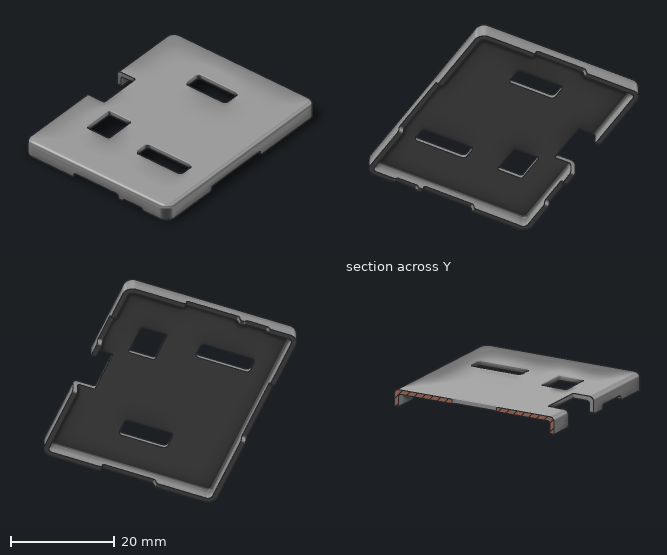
import cadquery as cq
import math

length_x = 36.0
width_y = 45.7
height = 3.5
wall = 1.0
corner_radius = 2.0
top_edge_radius = 1.0
inner_edge_radius = 0.5

windows = [
    (0.0, 12.85, 10.05, 4.05, 0.8),
    (-8.1, -8.8, 5.5, 6.9, 0.4),
    (7.25, -10.8, 11.3, 3.6, 0.8),
]
window_edge_radius = 0.2

slot_depth = 4.6
slot_width = 9.6
slot_center_y = 1.0
slot_corner_radius = 0.3

notch_height = 1.0
small_notch_height = 0.5
notch_radius = 0.5
end_notch_width = 11.1
left_notch_width = 6.9
left_notch_center_y = -10.75
right_notch_width = 15.1
right_notch_center_y = -1.9
small_notch_width = 4.8
small_notch_center_x = 9.2

left_wall_x = -length_x / 2 + wall / 2
right_wall_x = -left_wall_x
front_wall_y = -width_y / 2 + wall / 2
back_wall_y = -front_wall_y
cut_thickness = 1.5 * wall


def shell():
    """Rounded plate with a rim, hollow from below."""
    outer = (
        cq.Workplane("XY")
        .rect(length_x, width_y)
        .extrude(height)
        .edges("|Z")
        .fillet(corner_radius)
        .faces(">Z")
        .edges()
        .fillet(top_edge_radius)
    )
    cavity = (
        cq.Workplane("XY")
        .rect(length_x - 2 * wall, width_y - 2 * wall)
        .extrude(height - wall)
        .edges("|Z")
        .fillet(corner_radius - wall)
        .faces(">Z")
        .edges()
        .fillet(inner_edge_radius)
    )
    return outer.cut(cavity)


def window(center_x, center_y, size_x, size_y, radius):
    """Cutter for a window with a rounded-over upper edge."""
    opening = (
        cq.Workplane("XY")
        .center(center_x, center_y)
        .rect(size_x, size_y)
        .extrude(height)
        .edges("|Z")
        .fillet(radius)
    )
    margin = 2 * window_edge_radius
    block = (
        cq.Workplane("XY", origin=(0, 0, height - wall))
        .center(center_x, center_y)
        .rect(size_x + 2 * margin, size_y + 2 * margin)
        .extrude(wall)
    )
    frame = block.cut(opening).faces(">Z").edges("not(<X or >X or <Y or >Y)").fillet(window_edge_radius)
    return block.cut(frame)


def arc_offsets(rise):
    """Run of a notch arc that climbs by rise from its tangent line, then run and rise of its midpoint."""
    angle = math.acos(1 - rise / notch_radius)
    run = notch_radius * math.sin(angle)
    mid_run = notch_radius * math.sin(angle / 2)
    mid_rise = notch_radius * (1 - math.cos(angle / 2))
    return run, mid_run, mid_rise


def lipped_section(workplane, width, rise):
    """Lower part of an opening's section: both lips rounded, drawn from its right side to its left side."""
    half = width / 2
    run, mid_run, mid_rise = arc_offsets(rise)
    lip = half + run
    return (
        workplane.moveTo(half, rise)
        .threePointArc((lip - mid_run, mid_rise), (lip, 0))
        .lineTo(-lip, 0)
        .threePointArc((mid_run - lip, mid_rise), (-half, rise))
    )


def notch(plane, origin, width, depth):
    """Cutter for a rim notch whose sides are S-curves: rounded lip below, rounded root above."""
    half = width / 2
    rise = depth / 2
    run, mid_run, mid_rise = arc_offsets(rise)
    root = half - run
    section = (
        lipped_section(cq.Workplane(plane, origin=origin), width, rise)
        .threePointArc((-root - mid_run, depth - mid_rise), (-root, depth))
        .lineTo(root, depth)
        .threePointArc((root + mid_run, depth - mid_rise), (half, rise))
        .close()
    )
    return section.extrude(cut_thickness / 2, both=True)


def side_slot():
    """Cutter for the slot: a rounded rectangle in the plate, with rounded lips at the wall's rim."""
    plate_cut = (
        cq.Workplane("XY")
        .center(-length_x / 2, slot_center_y)
        .rect(2 * slot_depth, slot_width)
        .extrude(height)
        .edges("|Z and >X")
        .fillet(slot_corner_radius)
    )
    wall_plane = cq.Workplane("YZ", origin=(left_wall_x, slot_center_y, 0))
    wall_cut = (
        lipped_section(wall_plane, slot_width, notch_radius)
        .lineTo(-slot_width / 2, height)
        .lineTo(slot_width / 2, height)
        .close()
        .extrude(cut_thickness / 2, both=True)
    )
    return plate_cut.union(wall_cut)


def rim_notches():
    """Cutters for the notches in the lower rim."""
    return [
        notch("XZ", (0, front_wall_y, 0), end_notch_width, notch_height),
        notch("XZ", (0, back_wall_y, 0), end_notch_width, notch_height),
        notch("XZ", (small_notch_center_x, front_wall_y, 0), small_notch_width, small_notch_height),
        notch("YZ", (left_wall_x, left_notch_center_y, 0), left_notch_width, notch_height),
        notch("YZ", (right_wall_x, right_notch_center_y, 0), right_notch_width, notch_height),
    ]


result = shell().cut(side_slot())
for placement in windows:
    result = result.cut(window(*placement))
for cutter in rim_notches():
    result = result.cut(cutter)